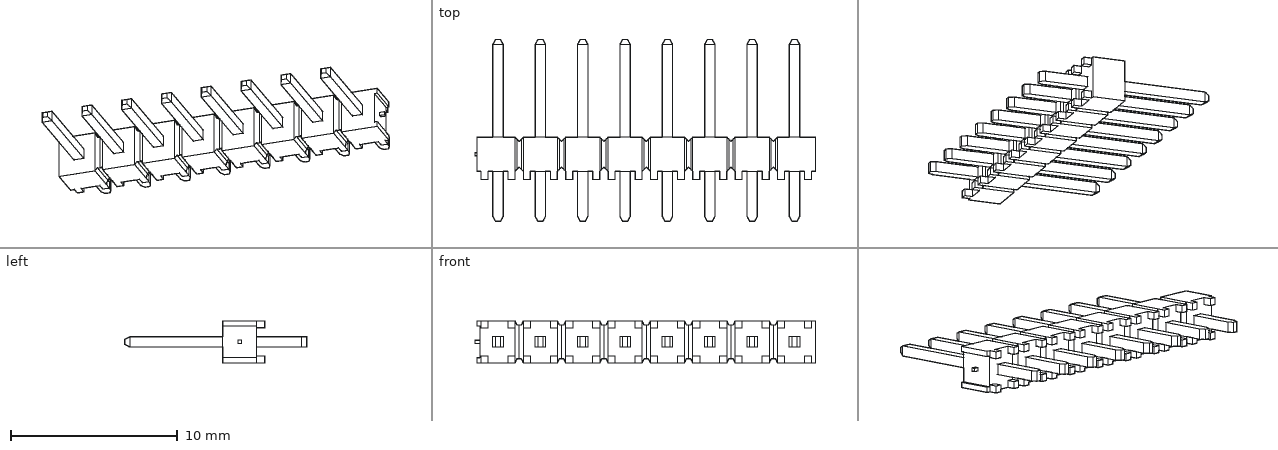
import cadquery as cq

pin_count = 8
housing_length = 20.33
housing_depth = 2.05
housing_height = 2.54
pitch = housing_length / pin_count

groove_width = 0.5
groove_floor_width = 0.27
groove_depth = groove_width / 2

foot_size = 0.43
foot_length = 0.5

recess_depth = 0.18
lip_height = 0.33

pin_width = 0.63
pin_front_length = 3.0
pin_back_length = 5.87
pin_tip_length = 0.3
pin_tip_width = 0.3

nub_size = 0.2
nub_protrusion = 0.12

half_length = housing_length / 2
half_depth = housing_depth / 2
half_height = housing_height / 2
pin_positions = [(i + 0.5) * pitch - half_length for i in range(pin_count)]
groove_positions = [i * pitch - half_length for i in range(1, pin_count)]


def box_between(low, high):
    """Box spanning two opposite corner points."""
    size = [b - a for a, b in zip(low, high)]
    return cq.Workplane("XY").box(*size, centered=False).translate(low)


def break_groove(x):
    """Cutter for the groove that runs all round the housing at x."""
    half_width = groove_width / 2
    half_floor = groove_floor_width / 2
    floor_z = half_height - groove_depth
    top = (
        cq.Workplane("XZ")
        .polyline([
            (x - half_width, half_height),
            (x - half_floor, floor_z),
            (x + half_floor, floor_z),
            (x + half_width, half_height),
        ])
        .close()
        .extrude(half_depth, both=True)
    )
    back = (
        cq.Workplane("XY")
        .polyline([
            (x - half_width, half_depth),
            (x, half_depth - groove_depth),
            (x + half_width, half_depth),
        ])
        .close()
        .extrude(half_height, both=True)
    )
    return top.union(top.mirror("XY")).union(back).union(back.mirror("XZ"))


def feet(x):
    """Four standoff feet on the front face around the pin at x."""
    foot_offset_x = (pitch - groove_width - foot_size) / 2
    foot_offset_z = (housing_height - foot_size) / 2
    return (
        cq.Workplane("XZ", origin=(x, -half_depth, 0))
        .rect(2 * foot_offset_x, 2 * foot_offset_z, forConstruction=True)
        .vertices()
        .rect(foot_size, foot_size)
        .extrude(foot_length)
    )


def make_pin(x):
    """Square pin along Y: wedge tip at the front, pyramid tip at the back."""
    half_width = pin_width / 2
    half_tip = pin_tip_width / 2
    front_y = -half_depth - pin_front_length
    shoulder_y = half_depth + pin_back_length - pin_tip_length
    shaft = (
        cq.Workplane("XY")
        .polyline([
            (x - half_tip, front_y),
            (x + half_tip, front_y),
            (x + half_width, front_y + pin_tip_length),
            (x + half_width, shoulder_y),
            (x - half_width, shoulder_y),
            (x - half_width, front_y + pin_tip_length),
        ])
        .close()
        .extrude(half_width, both=True)
    )
    back_tip = (
        cq.Workplane("XZ", origin=(x, shoulder_y, 0))
        .rect(pin_width, pin_width)
        .workplane(offset=-pin_tip_length)
        .rect(pin_tip_width, pin_tip_width)
        .loft(ruled=True)
    )
    return shaft.union(back_tip)


def make_housing():
    """Insulator block with grooves, feet, end recess and pin holes."""
    housing = cq.Workplane("XY").box(housing_length, housing_depth, housing_height)
    for x in groove_positions:
        housing = housing.cut(break_groove(x))
    for x in pin_positions:
        housing = housing.union(feet(x))
    lip_z = half_height - lip_height
    recess = box_between(
        (-half_length, -half_depth, -lip_z),
        (-half_length + recess_depth, half_depth, lip_z),
    )
    housing = housing.cut(recess)
    pin_holes = (
        cq.Workplane("XZ")
        .pushPoints([(x, 0) for x in pin_positions])
        .rect(pin_width, pin_width)
        .extrude(half_depth, both=True)
    )
    return housing.cut(pin_holes)


def make_end_nub():
    """Small square nub standing on the floor of the end recess."""
    half_size = nub_size / 2
    return box_between(
        (-half_length - nub_protrusion, -half_size, -half_size),
        (-half_length + recess_depth, half_size, half_size),
    )


housing = make_housing()
pins = [make_pin(x) for x in pin_positions]
end_nub = make_end_nub()

result = cq.Compound.makeCompound([
    housing.val(),
    *[pin.val() for pin in pins],
    end_nub.val(),
])